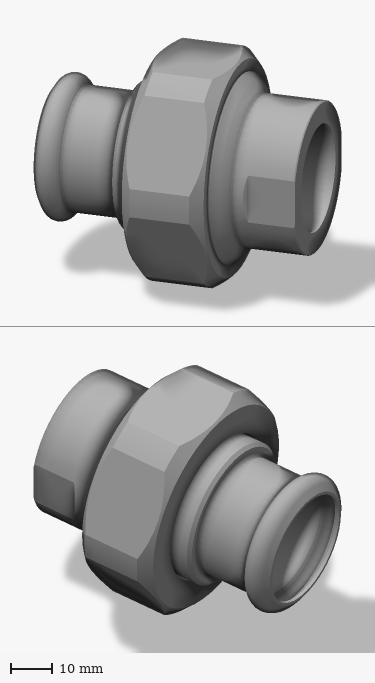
import cadquery as cq
import math

LENGTH = 68.0
BORE_RADIUS = 27.0 / 2

TUBE_RADIUS = 31.4 / 2
SOCKET_RADIUS = 28.4 / 2
WALL = TUBE_RADIUS - SOCKET_RADIUS
MOUTH_RADIUS = 28.7 / 2
RIM_RADIUS = 30.25 / 2
BEAD_X = 3.75
BEAD_CREST_RADIUS = 18.35
BEAD_ARC_RADIUS = 3.1
BEAD_FRONT_X = 0.95
BEAD_BACK_X = 6.3
BEAD_FOOT_X = 7.0
BEAD_FOOT_RISE = 0.2
TUBE_START_X = 7.5
MOUTH_DEPTH = 0.9
HOLLOW_HALF_WIDTH = 1.5
GROOVE_FOOT_X = 5.8
GROOVE_FOOT_RISE = 0.7
SOCKET_END_X = 20.25
SHOULDER_X = 21.15
SHOULDER_RADIUS = 38.0 / 2
SHOULDER_CHAMFER = 0.9
SHOULDER_FILLET = SHOULDER_X - SOCKET_END_X
COLLAR_LENGTH = 3.4

NUT_START_X = 26.5
NUT_END_X = 47.5
NUT_ACROSS_FLATS = 55.0
NUT_CORNER_RADIUS = 59.7 / 2
NUT_CHAMFER = 2.85
NUT_BORE_RADIUS = 39.0 / 2
NUT_WEB = 4.1
HEX_SIDES = 6

TAIL_HEAD_RADIUS = 47.7 / 2
TAIL_CONE_X = 48.0
TAIL_BREAK_X = 50.0
TAIL_BREAK_RADIUS = 21.75
TAIL_NECK_X = 51.95
TAIL_NECK_RISE = 0.3
TAIL_STRAIGHT_X = 52.35
TAIL_RADIUS = 19.1
TAIL_END_CHAMFER = 0.3
FLAT_OFFSET = 18.1
FLAT_START_X = 56.0

COLLAR_START_X = NUT_START_X + NUT_WEB
JOINT_X = COLLAR_START_X + COLLAR_LENGTH


def revolve_about_x(profile):
    """Revolve a closed (x, radius) profile about the X axis."""
    return profile.close().revolve(360, (0, 0, 0), (1, 0, 0))


def arc_height(x, arc_radius):
    """Radius from the part axis of a bead arc concentric with the bead section."""
    centre_radius = BEAD_CREST_RADIUS - BEAD_ARC_RADIUS
    return centre_radius + math.sqrt(arc_radius**2 - (x - BEAD_X) ** 2)


def make_insert():
    hollow_arc_radius = BEAD_ARC_RADIUS - WALL
    groove_front_x = BEAD_X - HOLLOW_HALF_WIDTH
    groove_back_x = BEAD_X + HOLLOW_HALF_WIDTH
    outer_foot = TUBE_RADIUS + BEAD_FOOT_RISE
    fillet_mid = SHOULDER_FILLET * math.sqrt(0.5)
    profile = (
        cq.Workplane("XY")
        .moveTo(0, MOUTH_RADIUS)
        .lineTo(0, RIM_RADIUS)
        .lineTo(BEAD_FRONT_X, arc_height(BEAD_FRONT_X, BEAD_ARC_RADIUS))
        .threePointArc((BEAD_X, BEAD_CREST_RADIUS), (BEAD_BACK_X, arc_height(BEAD_BACK_X, BEAD_ARC_RADIUS)))
        .lineTo(BEAD_FOOT_X, outer_foot)
        .lineTo(TUBE_START_X, TUBE_RADIUS)
        .lineTo(SOCKET_END_X, TUBE_RADIUS)
        .threePointArc(
            (SOCKET_END_X + fillet_mid, TUBE_RADIUS + SHOULDER_FILLET - fillet_mid),
            (SHOULDER_X, TUBE_RADIUS + SHOULDER_FILLET),
        )
        .lineTo(SHOULDER_X, SHOULDER_RADIUS - SHOULDER_CHAMFER)
        .lineTo(SHOULDER_X + SHOULDER_CHAMFER, SHOULDER_RADIUS)
        .lineTo(COLLAR_START_X, SHOULDER_RADIUS)
        .lineTo(COLLAR_START_X, TAIL_HEAD_RADIUS)
        .lineTo(JOINT_X, TAIL_HEAD_RADIUS)
        .lineTo(JOINT_X, BORE_RADIUS)
        .lineTo(SOCKET_END_X, BORE_RADIUS)
        .lineTo(SOCKET_END_X, SOCKET_RADIUS)
        .lineTo(TUBE_START_X, SOCKET_RADIUS)
        .tangentArcPoint((GROOVE_FOOT_X, SOCKET_RADIUS + GROOVE_FOOT_RISE), relative=False)
        .lineTo(groove_back_x, arc_height(groove_back_x, hollow_arc_radius))
        .threePointArc(
            (BEAD_X, BEAD_CREST_RADIUS - WALL),
            (groove_front_x, arc_height(groove_front_x, hollow_arc_radius)),
        )
        .lineTo(MOUTH_DEPTH, MOUTH_RADIUS)
    )
    return revolve_about_x(profile)


def make_nut():
    hexagon = (
        cq.Workplane("YZ")
        .workplane(offset=NUT_START_X)
        .polygon(HEX_SIDES, NUT_ACROSS_FLATS / math.cos(math.pi / HEX_SIDES))
        .extrude(NUT_END_X - NUT_START_X)
    )
    chamfered_envelope = (
        cq.Workplane("YZ")
        .workplane(offset=NUT_START_X)
        .circle(NUT_CORNER_RADIUS)
        .extrude(NUT_END_X - NUT_START_X)
        .edges()
        .chamfer(NUT_CHAMFER)
    )
    opening = (
        cq.Workplane("XY")
        .moveTo(NUT_START_X, 0)
        .lineTo(NUT_START_X, NUT_BORE_RADIUS)
        .lineTo(COLLAR_START_X, NUT_BORE_RADIUS)
        .lineTo(COLLAR_START_X, TAIL_HEAD_RADIUS)
        .lineTo(NUT_END_X, TAIL_HEAD_RADIUS)
        .lineTo(NUT_END_X, 0)
    )
    return hexagon.intersect(chamfered_envelope).cut(revolve_about_x(opening))


def make_wrench_flat_cutter():
    """Prism removing the +Y side of the tail, with a 45 degree run-out."""
    depth = TAIL_RADIUS - FLAT_OFFSET
    return (
        cq.Workplane("XY")
        .moveTo(LENGTH, FLAT_OFFSET)
        .lineTo(FLAT_START_X, FLAT_OFFSET)
        .lineTo(FLAT_START_X - depth, TAIL_RADIUS)
        .lineTo(LENGTH, TAIL_RADIUS)
        .close()
        .extrude(TAIL_RADIUS, both=True)
    )


def make_tail():
    profile = (
        cq.Workplane("XY")
        .moveTo(JOINT_X, BORE_RADIUS)
        .lineTo(JOINT_X, TAIL_HEAD_RADIUS)
        .lineTo(TAIL_CONE_X, TAIL_HEAD_RADIUS)
        .lineTo(TAIL_BREAK_X, TAIL_BREAK_RADIUS)
        .lineTo(TAIL_NECK_X, TAIL_RADIUS + TAIL_NECK_RISE)
        .lineTo(TAIL_STRAIGHT_X, TAIL_RADIUS)
        .lineTo(LENGTH - TAIL_END_CHAMFER, TAIL_RADIUS)
        .lineTo(LENGTH, TAIL_RADIUS - TAIL_END_CHAMFER)
        .lineTo(LENGTH, BORE_RADIUS)
    )
    flat_cutter = make_wrench_flat_cutter()
    tail = revolve_about_x(profile).cut(flat_cutter)
    return tail.cut(flat_cutter.mirror("XZ"))


insert = make_insert()
nut = make_nut()
tail = make_tail()

result = cq.Compound.makeCompound([insert.val(), nut.val(), tail.val()])